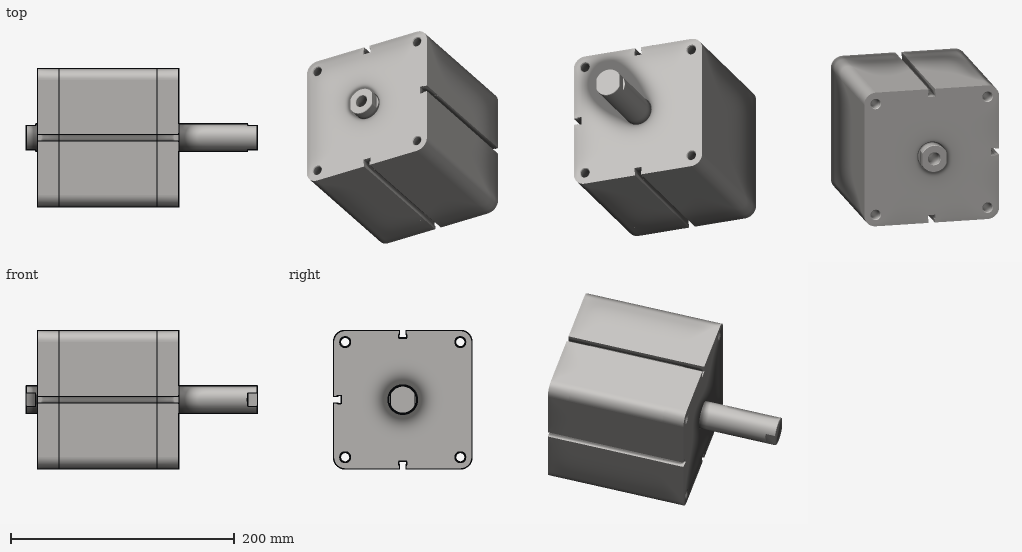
import cadquery as cq
import math

width = 124.0
corner_radius = 10.5
cap_length = 19.5
barrel_length = 87.5
rear_projection = 10.1
rear_cap_x = rear_projection
barrel_x = rear_cap_x + cap_length
front_cap_x = barrel_x + barrel_length

bolt_offset = width / 2 - corner_radius
bolt_centres = [(y * bolt_offset, z * bolt_offset) for y in (-1, 1) for z in (-1, 1)]
bolt_diameter = 8.3
hole_chamfer = 0.72

slot_angles = (0, 90, -90)
cap_slot = {"mouth": 5.8, "pocket": 7.0, "lip": 3.3, "depth": 7.2}
barrel_slot = {"mouth": 5.5, "pocket": 7.0, "lip": 4.0, "depth": 6.6}

rod_length = 207.0
rod_chamfer = 0.5
rod_diameter = 25.0
flat_spacing = 22.0
flat_wall_angle = 20
rear_flat_length = 8.5
front_flat_length = 8.7
tap_diameter = 11.2
tap_depth = 24.8
drill_point_angle = 118


def plane_at(x):
    """Workplane facing +X at the given X, with local axes Y and Z."""
    return cq.Workplane("YZ", origin=(x, 0, 0))


def slot_cutter(x, length, slot):
    """T-slot cutter for the -Y side: a narrow mouth opening into a wider pocket."""
    half_mouth = slot["mouth"] / 2
    half_pocket = slot["pocket"] / 2
    face_y = -width / 2
    lip_y = face_y + slot["lip"]
    floor_y = face_y + slot["depth"]
    return (
        plane_at(x)
        .moveTo(face_y, -half_mouth)
        .lineTo(lip_y, -half_mouth)
        .lineTo(lip_y, -half_pocket)
        .lineTo(floor_y, -half_pocket)
        .lineTo(floor_y, half_pocket)
        .lineTo(lip_y, half_pocket)
        .lineTo(lip_y, half_mouth)
        .lineTo(face_y, half_mouth)
        .close()
        .extrude(length)
    )


def housing_section(x, length, slot):
    """Rounded square block with the rod bore, four bolt holes and three T-slots."""
    block = plane_at(x).rect(width, width).extrude(length).edges("|X").fillet(corner_radius)
    block = block.cut(plane_at(x).circle(rod_diameter / 2).extrude(length))
    block = block.cut(plane_at(x).pushPoints(bolt_centres).circle(bolt_diameter / 2).extrude(length))
    cutter = slot_cutter(x, length, slot)
    for angle in slot_angles:
        block = block.cut(cutter.rotate((0, 0, 0), (1, 0, 0), angle))
    return block


def end_cap(x, outer_x, inward):
    """Housing section with chamfered hole mouths on its outer face; inward is +1 or -1 along X."""
    cap = housing_section(x, cap_length, cap_slot)
    depth = inward * hole_chamfer
    for diameter, centres in ((rod_diameter, [(0, 0)]), (bolt_diameter, bolt_centres)):
        mouths = plane_at(outer_x).pushPoints(centres).circle(diameter / 2 + hole_chamfer)
        cap = cap.cut(mouths.extrude(depth, taper=45))
    return cap


def flat_cutter(length):
    """Cutter for both flats of an end at X = 0; each flat ends at a wall leaning away from that end."""
    flat_y = flat_spacing / 2
    rod_radius = rod_diameter / 2
    wall_lean = (rod_radius - flat_y) * math.tan(math.radians(flat_wall_angle))
    cutter = (
        cq.Workplane("XY")
        .moveTo(0, flat_y)
        .lineTo(length, flat_y)
        .lineTo(length + wall_lean, rod_radius)
        .lineTo(0, rod_radius)
        .close()
        .extrude(rod_radius, both=True)
    )
    return cutter.union(cutter.mirror("XZ"))


def tapped_hole_cutter():
    """Blind hole from the rear end of the rod, ending in a drill point."""
    radius = tap_diameter / 2
    point_depth = radius / math.tan(math.radians(drill_point_angle / 2))
    return (
        cq.Workplane("XY")
        .lineTo(0, radius)
        .lineTo(tap_depth, radius)
        .lineTo(tap_depth + point_depth, 0)
        .close()
        .revolve(360, (0, 0, 0), (1, 0, 0))
    )


def make_rod():
    rod = plane_at(0).circle(rod_diameter / 2).extrude(rod_length)
    rod = rod.cut(tapped_hole_cutter())
    rod = rod.faces("<X or >X").edges().chamfer(rod_chamfer)
    rod = rod.cut(flat_cutter(rear_flat_length))
    rod = rod.cut(flat_cutter(front_flat_length).mirror("YZ").translate((rod_length, 0, 0)))
    return rod


caps = [
    end_cap(rear_cap_x, rear_cap_x, 1),
    end_cap(front_cap_x, front_cap_x + cap_length, -1),
]
barrel = housing_section(barrel_x, barrel_length, barrel_slot)
rod = make_rod()

result = cq.Compound.makeCompound([*(cap.val() for cap in caps), barrel.val(), rod.val()])